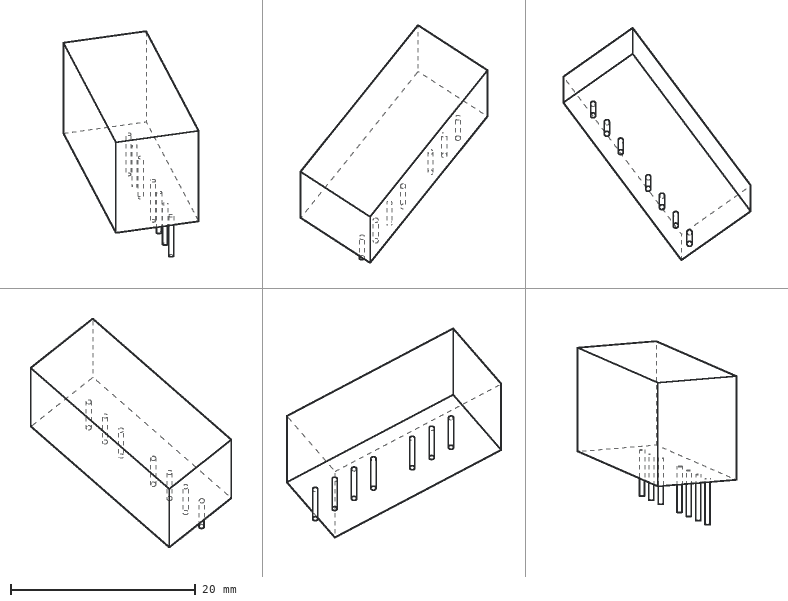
import cadquery as cq

housing_length = 21.8
housing_width = 9.3
total_height = 16.55
pin_length = 5.08
housing_height = total_height - pin_length

pin_diameter = 0.57
pin_row_span = 17.79
grid_positions = 8
empty_position = 3
pin_pitch = pin_row_span / (grid_positions - 1)
pin_row_inset = 2.55
pin_row_y = housing_width / 2 - pin_row_inset


def make_housing():
    """Plain block standing on the plane Z = 0."""
    return cq.Workplane("XY").box(
        housing_length, housing_width, housing_height, centered=(True, True, False)
    )


def make_pin(x):
    """Round pin hanging from the underside of the housing."""
    return (
        cq.Workplane("XY")
        .center(x, pin_row_y)
        .circle(pin_diameter / 2)
        .extrude(-pin_length)
    )


housing = make_housing()

pins = []
for position in range(grid_positions):
    if position != empty_position:
        pins.append(make_pin(position * pin_pitch - pin_row_span / 2))

result = cq.Compound.makeCompound([housing.val(), *[pin.val() for pin in pins]])